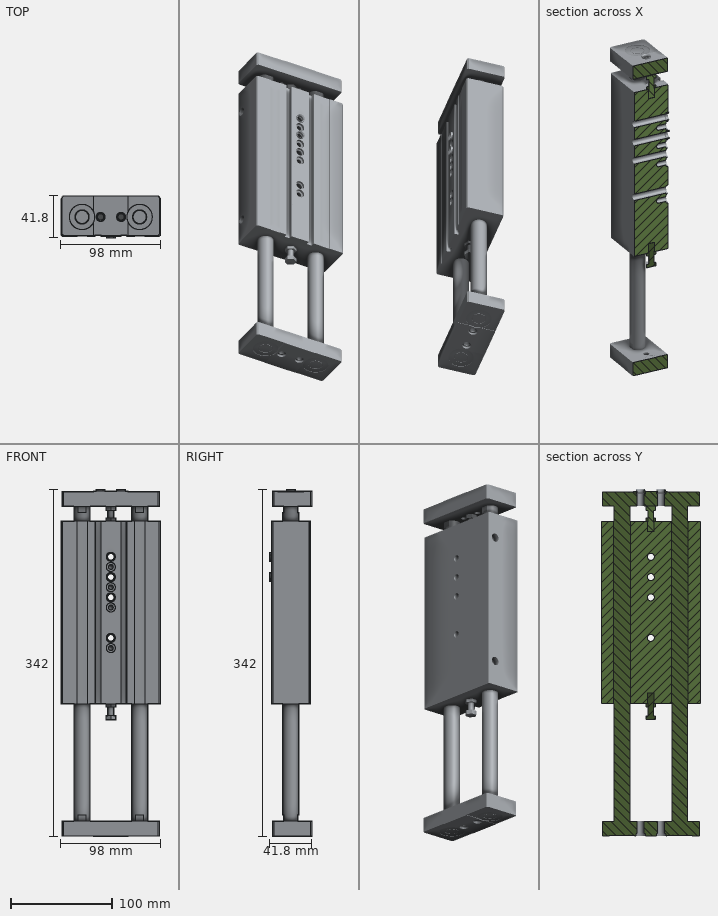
import cadquery as cq
import math

total_height = 342.0
sides = (-1, 1)
rod_x = 28.5

sleeve_outer = 9.0
sleeve_inner = 6.5
sleeve_length = 4.0
sleeve_rise = 1.7
sleeve_chamfer = 1.0
sleeve_seat_depth = sleeve_length - sleeve_rise

plate_width = 96.0
plate_back = 21.0
plate_front = -18.0
plate_depth = plate_back - plate_front
plate_centre_y = (plate_back + plate_front) / 2
plate_thickness = 15.0
plate_chamfer = 1.5
pad_width = 34.2
pad_height = 0.5
plate_hole_spacing = 20.2
plate_hole_x = plate_hole_spacing / 2
plate_hole_diameter = 6.0
rod_diameter = 16.0
flat_spacing = 14.0
flat_length = 6.0
recess_diameter = 25.0
recess_depth = 0.5
end_groove_outer = 14.0
end_groove_inner = 13.0
end_groove_depth = 0.5
stop_seat_diameter = 12.0
stop_seat_depth = 0.17
frame_top = total_height - sleeve_rise
frame_middle = frame_top / 2
upper_plate_bottom = frame_top - plate_thickness

housing_width = 98.0
housing_depth = 38.3
housing_bottom = 130.5
housing_length = 180.2
housing_top = housing_bottom + housing_length
housing_front = -housing_depth / 2
housing_left = -housing_width / 2
housing_chamfer = 1.5
groove_inner_x = 23.2
groove_outer_x = 33.5
groove_depth = 0.5
slot_inner_x = 10.0
slot_mouth_x = 15.7
slot_floor_x = 15.0
slot_depth = 4.0

row_top = 275.5
row_length = 90.0
last_step = 9
through_steps = (0, 2, 4, 8)
blind_steps = (1, 3, 5, last_step)
sleeve_steps = (0, 2)
through_diameter = 6.5
blind_diameter = 4.8
blind_depth = 12.0

port_y = 11.3
port_heights = (155.5, 285.5)
port_diameter = 8.5
port_depth = 7.0
drill_tip_angle = 118.0

hex_across_flats = 10.0
screw_diameter = 6.0
head_height = 4.0
nut_height = 3.0
screw_engagement = 10.3
lower_head_bottom = 115.0
lower_screw_tip = housing_bottom + screw_engagement
upper_screw_tip = housing_top - screw_engagement


def cylinder(diameter, bottom, top, x=0.0):
    """Cylinder along Z at the given X."""
    return cq.Workplane("XY", origin=(x, 0, bottom)).circle(diameter / 2).extrude(top - bottom)


def hexagon(bottom, top):
    """Hexagonal prism along Z with flats facing -X and +X."""
    across_corners = hex_across_flats / math.cos(math.pi / 6)
    prism = cq.Workplane("XY").polygon(6, across_corners).extrude(top - bottom)
    return prism.rotate((0, 0, 0), (0, 0, 1), 30).translate((0, 0, bottom))


def block(width, depth, centre_y, bottom, top):
    """Rectangular block centred on X = 0."""
    return cq.Workplane("XY", origin=(0, centre_y, bottom)).rect(width, depth).extrude(top - bottom)


def blind_drill(diameter, depth):
    """Drill shape along +X from the origin, ending in a conical tip."""
    radius = diameter / 2
    tip_length = radius / math.tan(math.radians(drill_tip_angle / 2))
    return (
        cq.Workplane("XY")
        .polyline([(0, 0), (0, radius), (depth, radius), (depth + tip_length, 0)])
        .close()
        .revolve(360, (0, 0, 0), (1, 0, 0))
    )


def front_drill(diameter, depth, z):
    """Plain drill shape along +Y from the front face of the housing."""
    return cq.Workplane("XZ", origin=(0, housing_front, z)).circle(diameter / 2).extrude(-depth)


def row_height(step):
    return row_top - step * row_length / last_step


def frame_rod(x):
    """Upper half of one rod, with its wrench flats, up to the plate."""
    rod = cylinder(rod_diameter, frame_middle, upper_plate_bottom, x)
    flats_bottom = upper_plate_bottom - flat_length
    flatted_end = rod.intersect(block(plate_width, flat_spacing, 0, flats_bottom, upper_plate_bottom))
    return cylinder(rod_diameter, frame_middle, flats_bottom, x).union(flatted_end)


def rod_end_mark(x):
    """Shallow recess around a rod end and the ring groove in its floor."""
    recess_floor = frame_top - pad_height - recess_depth
    groove_floor = recess_floor - end_groove_depth
    groove = cylinder(end_groove_outer, groove_floor, recess_floor, x).cut(
        cylinder(end_groove_inner, groove_floor, recess_floor, x)
    )
    return cylinder(recess_diameter, recess_floor, frame_top, x).union(groove)


def frame_half():
    """Upper plate with the upper halves of both rods."""
    pad_bottom = frame_top - pad_height
    plate = block(plate_width, plate_depth, plate_centre_y, upper_plate_bottom, pad_bottom)
    plate = plate.edges("|Z").chamfer(plate_chamfer)
    plate = plate.union(block(pad_width, plate_depth, plate_centre_y, pad_bottom, frame_top))
    stop_seat_top = upper_plate_bottom + stop_seat_depth
    plate = plate.cut(cylinder(stop_seat_diameter, upper_plate_bottom, stop_seat_top))
    for side in sides:
        hole_x = side * plate_hole_x
        plate = plate.cut(cylinder(plate_hole_diameter, upper_plate_bottom, frame_top, hole_x))
        plate = plate.cut(cylinder(sleeve_outer, frame_top - sleeve_seat_depth, frame_top, hole_x))
        plate = plate.cut(rod_end_mark(side * rod_x))
        plate = plate.union(frame_rod(side * rod_x))
    return plate


def make_frame():
    upper_half = frame_half()
    lower_half = upper_half.mirror("XY", (0, 0, frame_middle))
    return upper_half.union(lower_half)


def front_channel(inner_x, mouth_x, floor_x, depth, side):
    """Full-length channel in the front face, on the given side of X = 0."""
    floor_y = housing_front + depth
    return (
        cq.Workplane("XY", origin=(0, 0, housing_bottom))
        .moveTo(side * inner_x, housing_front)
        .lineTo(side * inner_x, floor_y)
        .lineTo(side * floor_x, floor_y)
        .lineTo(side * mouth_x, housing_front)
        .close()
        .extrude(housing_length)
    )


def cut_channels_and_rod_bores(body):
    for side in sides:
        body = body.cut(front_channel(slot_inner_x, slot_mouth_x, slot_floor_x, slot_depth, side))
        body = body.cut(
            front_channel(groove_inner_x, groove_outer_x, groove_outer_x, groove_depth, side)
        )
        body = body.cut(cylinder(rod_diameter, housing_bottom, housing_top, side * rod_x))
    return body


def cut_mounting_row(body):
    blind_hole = blind_drill(blind_diameter, blind_depth).rotate((0, 0, 0), (0, 0, 1), 90)
    for step in through_steps + blind_steps:
        body = body.cut(front_drill(sleeve_outer, sleeve_seat_depth, row_height(step)))
    for step in through_steps:
        body = body.cut(front_drill(through_diameter, housing_depth, row_height(step)))
    for step in blind_steps:
        body = body.cut(blind_hole.translate((0, housing_front, row_height(step))))
    return body


def cut_ports(body):
    port = blind_drill(port_diameter, port_depth)
    for z in port_heights:
        body = body.cut(port.translate((housing_left, port_y, z)))
    return body


def make_housing():
    body = block(housing_width, housing_depth, 0, housing_bottom, housing_top)
    body = body.edges("|Z").chamfer(housing_chamfer)
    body = cut_channels_and_rod_bores(body)
    body = cut_mounting_row(body)
    body = cut_ports(body)
    body = body.cut(cylinder(screw_diameter, housing_bottom, lower_screw_tip))
    return body.cut(cylinder(screw_diameter, upper_screw_tip, housing_top))


def make_sleeve():
    """Sleeve along Z with its outer end face at Z = 0, chamfered inside at both ends."""
    ring = cq.Workplane("XY", origin=(0, 0, -sleeve_length)).circle(sleeve_outer / 2)
    ring = ring.circle(sleeve_inner / 2).extrude(sleeve_length)
    inner_edges = ring.edges(cq.selectors.RadiusNthSelector(0))
    return inner_edges.chamfer(sleeve_chamfer)


def make_nut(bottom):
    top = bottom + nut_height
    return hexagon(bottom, top).cut(cylinder(screw_diameter, bottom, top))


lower_screw = hexagon(lower_head_bottom, lower_head_bottom + head_height).union(
    cylinder(screw_diameter, lower_head_bottom, lower_screw_tip)
)
upper_screw = hexagon(upper_plate_bottom - head_height, upper_plate_bottom).union(
    cylinder(screw_diameter, upper_screw_tip, upper_plate_bottom)
)
nuts = [make_nut(bottom) for bottom in (housing_bottom - nut_height, housing_top)]

plate_sleeves = [make_sleeve().translate((side * plate_hole_x, 0, total_height)) for side in sides]
front_sleeve = make_sleeve().rotate((0, 0, 0), (1, 0, 0), 90)
front_sleeves = [
    front_sleeve.translate((0, housing_front - sleeve_rise, row_height(step))) for step in sleeve_steps
]

frame = make_frame()
housing = make_housing()
bodies = [housing, frame, lower_screw, upper_screw, *nuts, *plate_sleeves, *front_sleeves]
result = cq.Compound.makeCompound([body.val() for body in bodies])